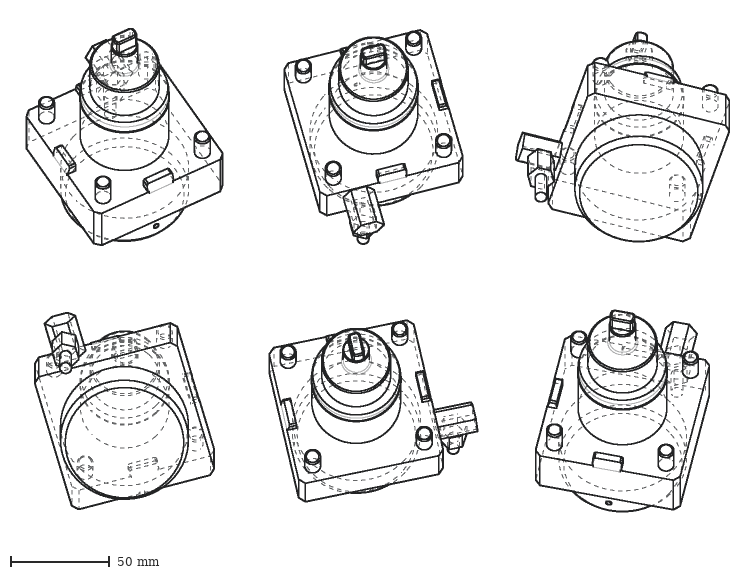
import cadquery as cq
import math

housing_side = 75.0
housing_half = housing_side / 2
housing_bottom = 22.9
housing_top = 50.0
housing_corner_chamfer = 3.0

base_radius = 32.4
base_foot_radius = 30.0
base_chamfer_height = 4.0
base_boss_radius = 1.5
base_boss_z = 10.7
base_boss_proud = 0.3

barrel_radius = 22.5
barrel_top = 89.9
barrel_rim_radius = 22.0
barrel_rim_height = 3.0
ridge_radius = 22.8
ridge_middle = 82.3
ridge_half_height = 0.4
nose_radius = 17.5
nose_top = 110.1
nose_chamfer = 0.8
shaft_radius = 6.7
shaft_top = 126.1
shaft_rim_radius = 6.3
shaft_rim_height = 1.1
shaft_root_fillet = 1.0

overall_height = 134.0
tang_thickness = 6.2
tang_edge_chamfer = 0.8

stud_radius = 4.0
stud_offset = 29.0
stud_top = 63.1
stud_chamfer = 0.8

tab_width = 15.0
tab_depth = 5.0
tab_top = 55.1
tab_setback = 1.5
tab_chamfer = 1.0
tab_notch_width = 14.0
tab_notch_bottom = 48.8

connector_y = 18.0
connector_z = 42.1
connector_flats = 14.1
overall_length = 94.9
connector_reach = overall_length - housing_half
gland_x = -46.4
gland_flats = 12.0
gland_bottom = 18.5
cable_radius = 3.0
cable_bottom = 2.0


def hexagon_corners(across_flats):
    """Diameter across the corners of a hexagon with the given width across its flats."""
    return across_flats / math.cos(math.pi / 6)


def make_housing():
    return (
        cq.Workplane("XY")
        .workplane(offset=housing_bottom)
        .rect(housing_side, housing_side)
        .extrude(housing_top - housing_bottom)
        .edges("|Z")
        .chamfer(housing_corner_chamfer)
    )


def make_turned_body():
    """Base, barrel, nose and shaft as one profile (radius, z) turned about the Z axis."""
    root_drop = shaft_root_fillet * (1 - math.sqrt(0.5))
    return (
        cq.Workplane("XZ")
        .moveTo(0, 0)
        .lineTo(base_foot_radius, 0)
        .lineTo(base_radius, base_chamfer_height)
        .lineTo(base_radius, housing_bottom)
        .lineTo(barrel_radius, housing_bottom)
        .lineTo(barrel_radius, ridge_middle - ridge_half_height)
        .lineTo(ridge_radius, ridge_middle)
        .lineTo(barrel_radius, ridge_middle + ridge_half_height)
        .lineTo(barrel_radius, barrel_top - barrel_rim_height)
        .lineTo(barrel_rim_radius, barrel_top)
        .lineTo(nose_radius, barrel_top)
        .lineTo(nose_radius, nose_top - nose_chamfer)
        .lineTo(nose_radius - nose_chamfer, nose_top)
        .lineTo(shaft_radius + shaft_root_fillet, nose_top)
        .threePointArc(
            (shaft_radius + root_drop, nose_top + root_drop),
            (shaft_radius, nose_top + shaft_root_fillet),
        )
        .lineTo(shaft_radius, shaft_top - shaft_rim_height)
        .lineTo(shaft_rim_radius, shaft_top)
        .lineTo(0, shaft_top)
        .close()
        .revolve(360, (0, 0, 0), (0, 1, 0))
    )


def make_base_boss():
    """Small round boss standing slightly proud of the +X side of the base."""
    return (
        cq.Workplane("YZ")
        .center(0, base_boss_z)
        .circle(base_boss_radius)
        .extrude(base_radius + base_boss_proud)
    )


def make_tang():
    """Slice of the shaft end between two flats, with chamfered long and top edges."""
    height = overall_height - shaft_top
    slab = cq.Workplane("XY").box(tang_thickness, 2 * shaft_radius, height, centered=(True, True, False))
    tang = cq.Workplane("XY").circle(shaft_rim_radius).extrude(height).intersect(slab)
    tang = tang.edges("|Z").chamfer(tang_edge_chamfer)
    tang = tang.faces(">Z").chamfer(tang_edge_chamfer)
    return tang.translate((0, 0, shaft_top))


def make_studs():
    return (
        cq.Workplane("XY")
        .workplane(offset=housing_top)
        .rect(2 * stud_offset, 2 * stud_offset, forConstruction=True)
        .vertices()
        .circle(stud_radius)
        .extrude(stud_top - housing_top)
        .faces(">Z")
        .chamfer(stud_chamfer)
    )


def sloped_tab_section():
    """Side section of the -Y tab in the YZ plane, from the notch bottom up to the tab top."""
    inner_y = tab_depth - housing_half
    return (
        cq.Workplane("YZ")
        .moveTo(-housing_half, tab_notch_bottom)
        .lineTo(tab_setback - housing_half, tab_top)
        .lineTo(inner_y, tab_top)
        .lineTo(inner_y, tab_notch_bottom)
        .close()
    )


def make_tab():
    """Tab on the -Y edge: its outer face slopes inward, its top end edges are chamfered."""
    return (
        sloped_tab_section()
        .extrude(tab_width / 2, both=True)
        .faces(">Z")
        .edges("|Y")
        .chamfer(tab_chamfer)
    )


def make_tab_notch():
    """Thin wedge that carries the slope of the -Y tab down into the housing face."""
    slope_at_top = tab_setback * (housing_top - tab_notch_bottom) / (tab_top - tab_notch_bottom)
    return (
        cq.Workplane("YZ")
        .moveTo(-housing_half, tab_notch_bottom)
        .lineTo(slope_at_top - housing_half, housing_top)
        .lineTo(-housing_half, housing_top)
        .close()
        .extrude(tab_notch_width / 2, both=True)
    )


def make_connector():
    level_hexagon = (
        cq.Workplane("YZ")
        .workplane(offset=-connector_reach)
        .center(connector_y, connector_z)
        .polygon(6, hexagon_corners(connector_flats))
        .extrude(connector_reach - housing_half)
    )
    connector_bottom = connector_z - connector_flats / 2
    gland = (
        cq.Workplane("XY")
        .workplane(offset=gland_bottom)
        .center(gland_x, connector_y)
        .polygon(6, hexagon_corners(gland_flats))
        .extrude(connector_bottom - gland_bottom)
    )
    cable = (
        cq.Workplane("XY")
        .workplane(offset=cable_bottom)
        .center(gland_x, connector_y)
        .circle(cable_radius)
        .extrude(gland_bottom - cable_bottom)
    )
    return level_hexagon.union(gland).union(cable)


result = make_housing()
for tab_angle in (-90, 0, 90):
    tab = make_tab().rotate((0, 0, 0), (0, 0, 1), tab_angle)
    notch = make_tab_notch().rotate((0, 0, 0), (0, 0, 1), tab_angle)
    result = result.union(tab).cut(notch)

result = (
    result.union(make_turned_body())
    .union(make_base_boss())
    .union(make_tang())
    .union(make_studs())
    .union(make_connector())
)